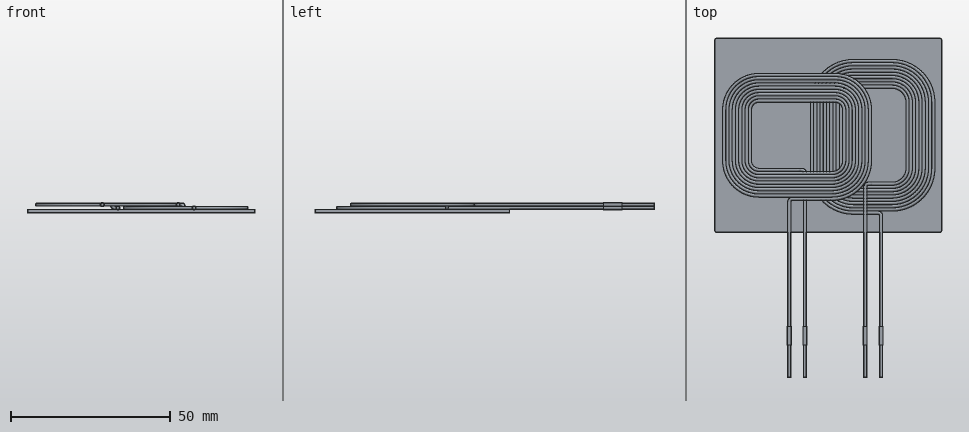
import cadquery as cq
import math

PLATE_WIDTH = 71.0
PLATE_DEPTH = 60.7
PLATE_THICKNESS = 1.1
PLATE_CORNER_RADIUS = 0.7

WIRE_DIAMETER = 1.0
TURN_PITCH = 1.01
TURN_COUNT = 9
WIRE_SINK = 0.02
LAYER_GAP = 0.01
LOWER_Z = PLATE_THICKNESS - WIRE_SINK + WIRE_DIAMETER / 2
UPPER_Z = LOWER_Z + WIRE_DIAMETER + LAYER_GAP

TOTAL_DEPTH = 106.0
LEAD_END_Y = PLATE_DEPTH / 2 - TOTAL_DEPTH
LEAD_BEND_RADIUS = 1.0
STEP_LENGTH = 1.5
SLEEVE_DIAMETER = 1.3
SLEEVE_LENGTH = 5.8
SLEEVE_END_GAP = 10.1

COIL_1_CENTER_X = 13.9
COIL_1_CORNER_X = 6.0
COIL_1_CORNER_Y = 10.3
COIL_1_INNER_RADIUS = 4.9
COIL_1_LAST_CORNER_GROWTH = 0.0
COIL_1_INNER_LEAD_X = 11.6
COIL_1_OUTER_LEAD_X = 16.5

COIL_2_CENTER_X = -9.8
COIL_2_CORNER_X = 11.9
COIL_2_CORNER_Y = 8.0
COIL_2_INNER_RADIUS = 2.9
COIL_2_LAST_CORNER_GROWTH = TURN_PITCH
COIL_2_INNER_LEAD_X = -7.3
COIL_2_OUTER_LEAD_X = -12.2


def make_plate():
    plate = cq.Workplane("XY").box(PLATE_WIDTH, PLATE_DEPTH, PLATE_THICKNESS, centered=(True, True, False))
    return plate.edges("|Z").fillet(PLATE_CORNER_RADIUS)


def quarter_arc(center, radius, start_angle, end_angle):
    """Arc about a vertical axis, with its angles in degrees."""
    points = []
    for angle in (start_angle, (start_angle + end_angle) / 2, end_angle):
        turn = math.radians(angle)
        points.append(center + cq.Vector(radius * math.cos(turn), radius * math.sin(turn), 0))
    return cq.Edge.makeThreePointArc(*points)


def join_with_lines(curves):
    """Edges that run through the curves in order, with straight stretches between them."""
    edges = [curves[0]]
    for curve in curves[1:]:
        edges.append(cq.Edge.makeLine(edges[-1].endPoint(), curve.startPoint()))
        edges.append(curve)
    return edges


def coil_path(corner_x, corner_y, inner_radius, last_growth, inner_lead_x, outer_lead_x, coil_z, inner_lead_z):
    """Clockwise spiral about the origin, from the tip of its inner lead to that of its outer lead."""
    inner_row_y = -corner_y - inner_radius
    outer_row_y = inner_row_y - TURN_COUNT * TURN_PITCH

    bend_x = inner_lead_x - LEAD_BEND_RADIUS
    bend_center = cq.Vector(bend_x, inner_row_y - LEAD_BEND_RADIUS, inner_lead_z)
    inner_bend = quarter_arc(bend_center, LEAD_BEND_RADIUS, 0, 90)
    step_start = cq.Vector(bend_x, inner_row_y, inner_lead_z)
    step_end = cq.Vector(bend_x - STEP_LENGTH, inner_row_y, coil_z)
    along_row = cq.Vector(-1, 0, 0)
    step = cq.Edge.makeSpline([step_start, step_end], tangents=[along_row, along_row])
    inner_tip = cq.Vector(inner_lead_x, LEAD_END_Y, inner_lead_z)
    inner_lead = [cq.Edge.makeLine(inner_tip, inner_bend.startPoint()), inner_bend]

    last_corner = cq.Vector(corner_x - last_growth, last_growth - TURN_PITCH - corner_y, coil_z)
    curves = [step]
    for turn in range(TURN_COUNT):
        radius = inner_radius + turn * TURN_PITCH
        curves += [
            quarter_arc(cq.Vector(-corner_x, -corner_y, coil_z), radius, 270, 180),
            quarter_arc(cq.Vector(-corner_x, corner_y, coil_z), radius, 180, 90),
            quarter_arc(cq.Vector(corner_x, corner_y, coil_z), radius, 90, 0),
            quarter_arc(last_corner, radius + last_growth, 0, -90),
        ]

    outer_center = cq.Vector(outer_lead_x + LEAD_BEND_RADIUS, outer_row_y - LEAD_BEND_RADIUS, coil_z)
    curves.append(quarter_arc(outer_center, LEAD_BEND_RADIUS, 90, 180))
    outer_tip = cq.Vector(outer_lead_x, LEAD_END_Y, coil_z)
    outer_lead = [cq.Edge.makeLine(curves[-1].endPoint(), outer_tip)]

    return cq.Wire.assembleEdges(inner_lead + join_with_lines(curves) + outer_lead)


def make_sleeve(lead_x, lead_z):
    sleeve = cq.Workplane("XZ", origin=(lead_x, LEAD_END_Y + SLEEVE_END_GAP, lead_z))
    return sleeve.circle(SLEEVE_DIAMETER / 2).extrude(-SLEEVE_LENGTH)


def make_coil(corner_x, corner_y, inner_radius, last_growth, inner_lead_x, outer_lead_x, coil_z, inner_lead_z):
    path = coil_path(
        corner_x, corner_y, inner_radius, last_growth, inner_lead_x, outer_lead_x, coil_z, inner_lead_z
    )
    section = cq.Workplane("XZ", origin=(inner_lead_x, LEAD_END_Y, inner_lead_z)).circle(WIRE_DIAMETER / 2)
    coil = section.sweep(cq.Workplane(path))
    return coil.union(make_sleeve(inner_lead_x, inner_lead_z)).union(make_sleeve(outer_lead_x, coil_z))


coil_1 = make_coil(
    corner_x=COIL_1_CORNER_X,
    corner_y=COIL_1_CORNER_Y,
    inner_radius=COIL_1_INNER_RADIUS,
    last_growth=COIL_1_LAST_CORNER_GROWTH,
    inner_lead_x=COIL_1_CENTER_X - COIL_1_INNER_LEAD_X,
    outer_lead_x=COIL_1_CENTER_X - COIL_1_OUTER_LEAD_X,
    coil_z=LOWER_Z,
    inner_lead_z=UPPER_Z,
).mirror("YZ").translate((COIL_1_CENTER_X, 0, 0))

coil_2 = make_coil(
    corner_x=COIL_2_CORNER_X,
    corner_y=COIL_2_CORNER_Y,
    inner_radius=COIL_2_INNER_RADIUS,
    last_growth=COIL_2_LAST_CORNER_GROWTH,
    inner_lead_x=COIL_2_INNER_LEAD_X - COIL_2_CENTER_X,
    outer_lead_x=COIL_2_OUTER_LEAD_X - COIL_2_CENTER_X,
    coil_z=UPPER_Z,
    inner_lead_z=LOWER_Z,
).translate((COIL_2_CENTER_X, 0, 0))

result = make_plate().union(coil_1).union(coil_2)